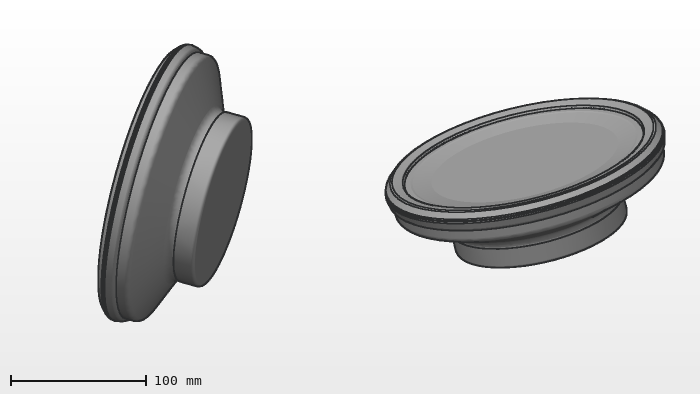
import cadquery as cq


total_depth = 63.0
rim_radius = 105.8

flange_radius = 204.0 / 2
neck_radius = 129.5 / 2
spigot_radius = 130.0 / 2
flange_end = 24.3
cone_end = 41.7
spigot_start = 47.0
flange_fillet = 4.2
neck_fillet = 6.4
spigot_fillet = 2.3

land_depth = 4.0
dish_radius = 86.0
dish_blend_radius = 84.5
dish_blend_drop = 0.5
dish_floor_radius = 70.7
dish_floor_depth = 6.5

ring_depth = 15.2
ring_foot_radius = 90.4
ring_bore_radius = 91.5
lip_radius = 92.7
lip_depth = 0.8
lip_round = lip_radius - ring_bore_radius
face_inner_radius = 97.4
face_outer_radius = 99.0

face_round_radius = 100.8
face_round_depth = 0.6
bevel_end = 4.7
bevel_end_radius = 104.8
groove_start = 6.0
groove_width = 0.5
groove_depth = 0.5
groove_end = groove_start + groove_width
crest_start = 7.6
crest_end = 12.7
crest_end_radius = 104.8
tail_middle = (13.5, 104.4)
tail_end = 14.2
tail_end_radius = 103.7


def revolve_about_x(profile):
    """Turn a closed (x, radius) profile into a solid of revolution."""
    return profile.close().revolve(360, (0, 0, 0), (1, 0, 0))


def circle_at(x, radius):
    """Select the circular edge whose centre is on the axis at x and which has this radius."""
    margin = 0.1
    reach = radius + margin
    return cq.selectors.BoxSelector((x - margin, -reach, -reach), (x + margin, reach, reach), True)


def make_housing():
    profile = (
        cq.Workplane("XY")
        .moveTo(dish_floor_depth, 0)
        .lineTo(dish_floor_depth, dish_floor_radius)
        .lineTo(land_depth + dish_blend_drop, dish_blend_radius)
        .lineTo(land_depth, dish_radius)
        .lineTo(land_depth, ring_bore_radius)
        .lineTo(ring_depth, ring_bore_radius)
        .lineTo(ring_depth, flange_radius)
        .lineTo(flange_end, flange_radius)
        .lineTo(cone_end, neck_radius)
        .lineTo(spigot_start, neck_radius)
        .lineTo(spigot_start, spigot_radius)
        .lineTo(total_depth, spigot_radius)
        .lineTo(total_depth, 0)
    )
    housing = revolve_about_x(profile)
    housing = housing.edges(circle_at(flange_end, flange_radius)).fillet(flange_fillet)
    housing = housing.edges(circle_at(cone_end, neck_radius)).fillet(neck_fillet)
    return housing.edges(circle_at(total_depth, spigot_radius)).fillet(spigot_fillet)


def make_ring():
    profile = (
        cq.Workplane("XY")
        .moveTo(ring_depth, ring_bore_radius)
        .lineTo(land_depth, ring_bore_radius)
        .lineTo(land_depth, ring_foot_radius)
        .lineTo(lip_depth + lip_round, ring_bore_radius)
        .radiusArc((lip_depth, lip_radius), lip_round)
        .lineTo(0, face_inner_radius)
        .lineTo(0, face_outer_radius)
        .lineTo(face_round_depth, face_round_radius)
        .lineTo(bevel_end, bevel_end_radius)
        .lineTo(groove_start, rim_radius - groove_depth)
        .lineTo(groove_start, rim_radius - 2 * groove_depth)
        .lineTo(groove_end, rim_radius - 2 * groove_depth)
        .lineTo(groove_end, rim_radius - groove_depth)
        .lineTo(crest_start, rim_radius)
        .lineTo(crest_end, crest_end_radius)
        .threePointArc(tail_middle, (tail_end, tail_end_radius))
        .lineTo(ring_depth, flange_radius)
    )
    return revolve_about_x(profile)


housing = make_housing()
ring = make_ring()
result = cq.Compound.makeCompound([housing.val(), ring.val()])